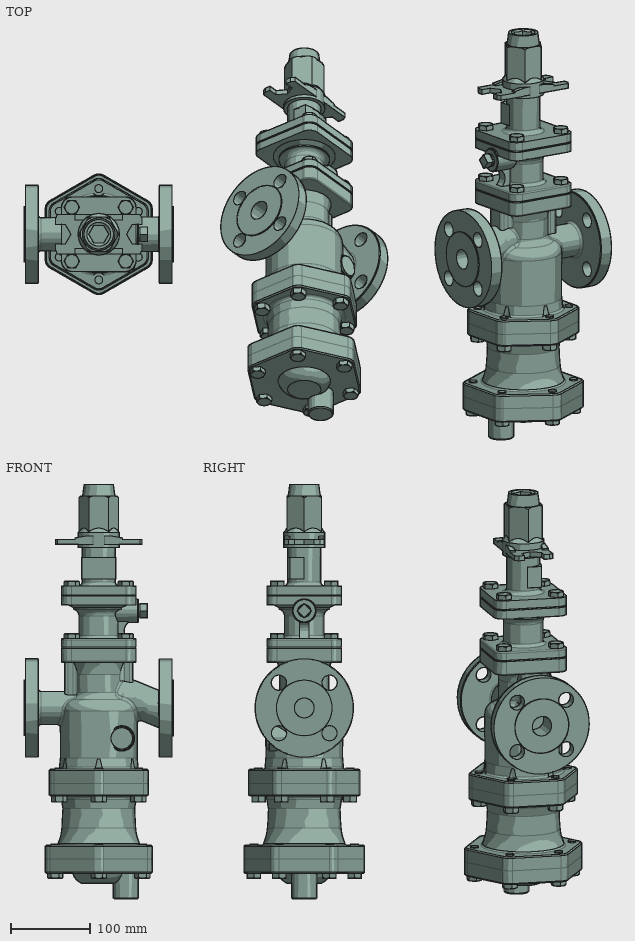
import cadquery as cq
import math


FACE_X = 94.0
PIPE_FLANGE_DIA = 124.0
PIPE_FLANGE_BACK_X = 75.8
RAISED_FACE_DIA = 70.0
RAISED_FACE_STEP = 1.6
PIPE_FLANGE_CHAMFER = 1.0
PIPE_BORE_DIA = 25.0
PIPE_BORE_DEPTH = 40.0
PIPE_DIA = 42.0
PIPE_FLANGE_FILLET = 3.0
FLANGE_HOLE_DIA = 19.0
FLANGE_HOLE_CIRCLE_DIA = 90.0
PIPE_BODY_FILLET = 4.0
OUTLET_DIA = 44.0
OUTLET_SLOPE = 0.4
OUTLET_START = (84.0, -4.5)
OUTLET_MIDDLE = (51.0, 8.7)
OUTLET_END = (20.0, 17.0)

BODY_RADIUS = 48.5
NECK_RADIUS = 62.07 / 2
NECK_TOP_RADIUS = 34.0
NECK_FLARE_MID_RADIUS = 31.8
NECK_FLARE_Z = 42.0
NECK_FOOT_Z = 19.6
SHOULDER_RADIUS = 15.0
SHOULDER_Z = -4.0
BODY_FLARE_Z = -62.8
BODY_FLARE_RADIUS = 49.6
BODY_FOOT_FILLET = 2.4

PASSAGE_X = 43.0
PASSAGE_WIDTH = 26.0
PASSAGE_CORNER = 4.0
PASSAGE_NECK_FILLET = 7.5

SQUARE_SIDE = 94.0
SQUARE_CORNER = 13.0
GASKET_THICKNESS = 1.6
GASKET_INSET = 0.5
SQUARE_EDGE_FILLET = 1.6
LOWER_SQUARE_BOTTOM_Z = 57.3
LOWER_SQUARE_GASKET_Z = 75.0
LOWER_SQUARE_TOP_Z = 87.3
UPPER_SQUARE_BOTTOM_Z = 129.9
UPPER_SQUARE_GASKET_Z = 140.8
UPPER_SQUARE_TOP_Z = 153.4
SQUARE_BOLT_CIRCLE_DIA = 96.0
SQUARE_BOLT_ACROSS_FLATS = 17.0
SQUARE_BOLT_HEAD_HEIGHT = 6.3

PILOT_RADIUS = 25.0
PILOT_FOOT_FILLET = 4.0
PILOT_FLARE_Z = 116.0
PILOT_FLARE_RADIUS = 32.0
PILOT_FLARE_TOP_Z = 124.5
PILOT_RIM_RADIUS = 39.0
PILOT_RIM_HEIGHT = 3.5

UPPER_BOSS_Z = 122.4
UPPER_BOSS_DIA = 30.0
UPPER_BOSS_END_X = 50.0
UPPER_PLUG_END_X = 61.2
UPPER_PLUG_DIAGONAL = 18.0
UPPER_PLUG_COLLAR_DIA = 16.0
UPPER_PLUG_COLLAR_LENGTH = 2.2
BOSS_RIB_X = 32.3
BOSS_RIB_FOOT_X = 37.0
BOSS_RIB_WIDTH = 12.0
LOWER_BOSS_Z = 90.3
LOWER_BOSS_DIA = 28.0
LOWER_BOSS_END_X = 49.2
LOWER_BOSS_FILLET = 3.5
LOWER_PLUG_END_X = 56.2
LOWER_PLUG_ACROSS_FLATS = 24.0
BOSS_CHAMFER = 1.0

STEM_DIA = 42.0
STEM_FLARE_RADIUS = 26.5
STEM_FLARE_Z = 158.9
STEM_PAD_HALF_WIDTH = 21.5
STEM_PAD_EDGE_Y = 18.2
STEM_PAD_BOTTOM_Z = 162.7
STEM_PAD_TOP_Z = 189.5
COLLAR_DIA = 52.0
COLLAR_BOTTOM_Z = 202.0
COLLAR_TOP_Z = 220.7
COLLAR_CONE_TOP_Z = 226.5
CAP_ACROSS_FLATS = 43.5
CAP_HEX_TOP_Z = 266.8
CAP_HEX_CHAMFER = 2.0
CAP_NECK_DIA = 41.0
CAP_TOP_DIA = 37.0
TOP_Z = 281.4
SOCKET_MOUTH_DIA = 30.0
SOCKET_ACROSS_FLATS = 22.0
SOCKET_MOUTH_DEPTH = 2.0
SOCKET_DEPTH = 11.0
WRENCH_HALF_LENGTH = 54.7
WRENCH_HALF_WIDTH = 25.0
WRENCH_BOTTOM_Z = 206.0
WRENCH_THICKNESS = 6.3
WRENCH_TIP_CUT_X = 2.8
WRENCH_TIP_CUT_Y = 5.0
WRENCH_JAW = 25.0
WRENCH_JAW_TIP_X = 35.0
WRENCH_RIB_WIDTH = 7.0
WRENCH_RIB_HALF_LENGTH = 30.0
WRENCH_RIB_END_HEIGHT = 1.8
WRENCH_RIB_HUB_HEIGHT = 4.4
WRENCH_RIB_HUB_X = 15.0

HEX_CORNER = 12.5
HEX_EDGE_CHAMFER = 1.6
UPPER_HEX_ACROSS_FLATS = 125.0
UPPER_HEX_TOP_Z = -77.0
UPPER_HEX_SPLIT_Z = -95.0
UPPER_HEX_BOTTOM_Z = -110.9
UPPER_HEX_BOLT_RADIUS = 57.5
UPPER_HEX_HEAD_HEIGHT = 7.8
LOWER_HEX_ACROSS_FLATS = 135.0
LOWER_HEX_TOP_Z = -172.7
LOWER_HEX_SPLIT_Z = -190.3
LOWER_HEX_BOTTOM_Z = -208.4
LOWER_HEX_BOLT_RADIUS = 63.5
LOWER_HEX_HEAD_HEIGHT = 6.2
HEX_BOLT_ACROSS_FLATS = 17.0
HEX_BOLT_DIA = 10.0
HEX_BOLT_PROTRUSION = 1.6
SPOTFACE_RADIUS = 9.0
SPOTFACE_TOP_Z = -64.5
SPOTFACE_BOTTOM_Z = -126.0

TRAP_TOP_RADIUS = 47.2
TRAP_TOP_FILLET = 4.5
TRAP_SHOULDER_Z = -126.5
TRAP_WAIST_RADIUS = 45.3
TRAP_FLARE_Z = -151.0
TRAP_FLARE_RADIUS = 46.6
TRAP_FOOT_RADIUS = 51.5
TRAP_FOOT_FILLET = 2.0
COVER_RADIUS = 33.0
COVER_MIDDLE_RADIUS = 29.0
COVER_MIDDLE_Z = -215.5
COVER_BOTTOM_RADIUS = 21.0
COVER_BOTTOM_Z = -221.0
DRAIN_X = 34.0
DRAIN_DIA = 32.0
DRAIN_CHAMFER = 1.5
BOTTOM_Z = -240.6

BODY_PLUG_X = 29.0
BODY_PLUG_Z = -38.3
BODY_PLUG_BOSS_DIA = 32.0
BODY_PLUG_BOSS_Y = -44.5
BODY_PLUG_DIA = 27.0
BODY_PLUG_Y = -47.5

COS30 = math.cos(math.radians(30))


def rod(diameter, z_bottom, z_top):
    """Cylinder on the Z axis."""
    return cq.Workplane("XY").workplane(offset=z_bottom).circle(diameter / 2).extrude(z_top - z_bottom)


def hex_prism(across_flats, z_bottom, z_top):
    """Hexagon with corners on the X axis."""
    base = cq.Workplane("XY").workplane(offset=z_bottom)
    return base.polygon(6, across_flats / COS30).extrude(z_top - z_bottom)


def bolt_head(across_flats, height):
    """Hexagon head standing on Z = 0 with its upper corners turned off."""
    corner = across_flats / COS30
    turned = rod(corner, 0, height).faces(">Z").chamfer((corner - across_flats) / 2)
    return hex_prism(across_flats, 0, height).intersect(turned)


def along_x(shape, sign):
    """Turn a shape built along +Z so that it points along +X or -X."""
    return shape.rotate((0, 0, 0), (0, 1, 0), 90 * sign)


def main_body():
    center_x = BODY_RADIUS - SHOULDER_RADIUS
    rise = NECK_FOOT_Z - SHOULDER_Z
    step = center_x - NECK_RADIUS
    foot_fillet = (step**2 + rise**2 - SHOULDER_RADIUS**2) / (2 * (SHOULDER_RADIUS + step))
    share = SHOULDER_RADIUS / (SHOULDER_RADIUS + foot_fillet)
    shoulder_start = (center_x + share * (foot_fillet - step), SHOULDER_Z + share * rise)
    foot_z = UPPER_HEX_TOP_Z + BODY_FOOT_FILLET
    flare_mid_z = (LOWER_SQUARE_BOTTOM_Z + NECK_FLARE_Z) / 2
    profile = (
        cq.Workplane("XZ")
        .moveTo(0, LOWER_SQUARE_BOTTOM_Z)
        .lineTo(NECK_TOP_RADIUS, LOWER_SQUARE_BOTTOM_Z)
        .threePointArc((NECK_FLARE_MID_RADIUS, flare_mid_z), (NECK_RADIUS, NECK_FLARE_Z))
        .lineTo(NECK_RADIUS, NECK_FOOT_Z)
        .radiusArc(shoulder_start, -foot_fillet)
        .radiusArc((BODY_RADIUS, SHOULDER_Z), SHOULDER_RADIUS)
        .lineTo(BODY_RADIUS, BODY_FLARE_Z)
        .lineTo(BODY_FLARE_RADIUS, foot_z)
        .radiusArc((BODY_FLARE_RADIUS + BODY_FOOT_FILLET, UPPER_HEX_TOP_Z), -BODY_FOOT_FILLET)
        .lineTo(0, UPPER_HEX_TOP_Z)
        .close()
    )
    return profile.revolve(360, (0, 0, 0), (0, 1, 0))


def passage_ribs():
    """Vertical passages beside the neck, blended into it and ending inside the pipes."""
    height = LOWER_SQUARE_BOTTOM_Z
    block = cq.Workplane("XY").box(2 * PASSAGE_X, PASSAGE_WIDTH, height, centered=(True, True, False))
    block = block.edges("|Z").fillet(PASSAGE_CORNER).union(rod(2 * NECK_RADIUS, 0, height))
    inner_corners = block.edges("|Z").filter(lambda edge: abs(edge.Center().x) < NECK_RADIUS)
    return inner_corners.fillet(PASSAGE_NECK_FILLET)


def body_plug():
    front = cq.Workplane("XZ").center(BODY_PLUG_X, BODY_PLUG_Z)
    boss = front.circle(BODY_PLUG_BOSS_DIA / 2).extrude(-BODY_PLUG_BOSS_Y)
    plug = front.circle(BODY_PLUG_DIA / 2).extrude(-BODY_PLUG_Y)
    return boss.faces("<Y").chamfer(BOSS_CHAMFER).union(plug)


def pipe_flange(sign):
    back = PIPE_FLANGE_BACK_X
    outer = FACE_X - RAISED_FACE_STEP
    radius = PIPE_FLANGE_DIA / 2
    pipe = PIPE_DIA / 2
    profile = (
        cq.Workplane("XZ")
        .moveTo(0, back - PIPE_FLANGE_FILLET)
        .lineTo(pipe, back - PIPE_FLANGE_FILLET)
        .radiusArc((pipe + PIPE_FLANGE_FILLET, back), PIPE_FLANGE_FILLET)
        .lineTo(radius - PIPE_FLANGE_CHAMFER, back)
        .lineTo(radius, back + PIPE_FLANGE_CHAMFER)
        .lineTo(radius, outer)
        .lineTo(RAISED_FACE_DIA / 2, outer)
        .lineTo(RAISED_FACE_DIA / 2, FACE_X)
        .lineTo(0, FACE_X)
        .close()
    )
    flange = profile.revolve(360, (0, 0, 0), (0, 1, 0))
    holes = (
        cq.Workplane("XY")
        .workplane(offset=back)
        .polarArray(FLANGE_HOLE_CIRCLE_DIA / 2, 45, 360, 4)
        .circle(FLANGE_HOLE_DIA / 2)
        .extrude(FACE_X - back)
    )
    return along_x(flange.cut(holes), sign)


def inlet_pipe():
    return along_x(rod(PIPE_DIA, 0, PIPE_FLANGE_BACK_X), -1)


def outlet_pipe():
    """Curved pipe climbing from the outlet flange into the neck."""
    path = cq.Workplane("XZ").spline(
        [OUTLET_START, OUTLET_MIDDLE, OUTLET_END],
        tangents=[(-1, OUTLET_SLOPE), (-1, 0)],
    )
    start_x, start_z = OUTLET_START
    start = cq.Plane(origin=(start_x, 0, start_z), xDir=(0, 1, 0), normal=(-1, 0, OUTLET_SLOPE))
    return cq.Workplane(start).circle(OUTLET_DIA / 2).sweep(path)


def body_with_pipes(body):
    """Join both pipes to the body and round the seams where they meet it."""
    def is_seam(edge):
        box = edge.BoundingBox()
        return edge.geomType() == "BSPLINE" and box.xmax < BODY_FLARE_RADIUS and box.zmin > BODY_FLARE_Z

    joined = body.union(inlet_pipe()).union(outlet_pipe())
    return joined.edges().filter(is_seam).fillet(PIPE_BODY_FILLET)


def pipe_bore(sign):
    return along_x(rod(PIPE_BORE_DIA, FACE_X - PIPE_BORE_DEPTH, FACE_X), sign)


def square_plate(z_bottom, z_top, inset=0.0):
    side = SQUARE_SIDE - 2 * inset
    plate = cq.Workplane("XY").workplane(offset=z_bottom).rect(side, side).extrude(z_top - z_bottom)
    return plate.edges("|Z").fillet(SQUARE_CORNER - inset)


def square_joint(z_bottom, z_gasket, z_top, rounded):
    lower = square_plate(z_bottom, z_gasket)
    upper = square_plate(z_gasket + GASKET_THICKNESS, z_top)
    if rounded:
        lower = lower.faces("<Z").edges().fillet(SQUARE_EDGE_FILLET)
        upper = upper.faces(">Z").edges().fillet(SQUARE_EDGE_FILLET)
    gasket = square_plate(z_gasket, z_gasket + GASKET_THICKNESS, GASKET_INSET)
    joint = lower.union(gasket).union(upper)
    head = bolt_head(SQUARE_BOLT_ACROSS_FLATS, SQUARE_BOLT_HEAD_HEIGHT)
    for angle in (45, 135, 225, 315):
        x = SQUARE_BOLT_CIRCLE_DIA / 2 * math.cos(math.radians(angle))
        y = SQUARE_BOLT_CIRCLE_DIA / 2 * math.sin(math.radians(angle))
        joint = joint.union(head.translate((x, y, z_top)))
    return joint


def pilot_body():
    foot_z = LOWER_SQUARE_TOP_Z
    profile = (
        cq.Workplane("XZ")
        .moveTo(0, foot_z)
        .lineTo(PILOT_RADIUS + PILOT_FOOT_FILLET, foot_z)
        .radiusArc((PILOT_RADIUS, foot_z + PILOT_FOOT_FILLET), PILOT_FOOT_FILLET)
        .lineTo(PILOT_RADIUS, PILOT_FLARE_Z)
        .tangentArcPoint((PILOT_FLARE_RADIUS, PILOT_FLARE_TOP_Z), relative=False)
        .lineTo(PILOT_FLARE_RADIUS, UPPER_SQUARE_BOTTOM_Z - PILOT_RIM_HEIGHT)
        .lineTo(PILOT_RIM_RADIUS, UPPER_SQUARE_BOTTOM_Z)
        .lineTo(0, UPPER_SQUARE_BOTTOM_Z)
        .close()
    )
    return profile.revolve(360, (0, 0, 0), (0, 1, 0))


def upper_boss():
    boss = rod(UPPER_BOSS_DIA, 0, UPPER_BOSS_END_X).faces(">Z").chamfer(BOSS_CHAMFER)
    collar_end = UPPER_BOSS_END_X + UPPER_PLUG_COLLAR_LENGTH
    collar = rod(UPPER_PLUG_COLLAR_DIA, UPPER_BOSS_END_X, collar_end)
    plug_base = cq.Workplane("XY").workplane(offset=collar_end)
    plug = plug_base.polygon(4, UPPER_PLUG_DIAGONAL).extrude(UPPER_PLUG_END_X - collar_end)
    placed = along_x(boss.union(collar).union(plug), 1).translate((0, 0, UPPER_BOSS_Z))
    rib_top_z = UPPER_BOSS_Z - UPPER_BOSS_DIA / 2
    rib = (
        cq.Workplane("XZ")
        .moveTo(0, LOWER_SQUARE_TOP_Z)
        .lineTo(BOSS_RIB_FOOT_X, LOWER_SQUARE_TOP_Z)
        .threePointArc((BOSS_RIB_X, (LOWER_SQUARE_TOP_Z + rib_top_z) / 2), (BOSS_RIB_FOOT_X, rib_top_z))
        .lineTo(BOSS_RIB_FOOT_X, UPPER_BOSS_Z)
        .lineTo(0, UPPER_BOSS_Z)
        .close()
        .extrude(BOSS_RIB_WIDTH / 2, both=True)
    )
    return placed.union(rib)


def lower_boss():
    """Inlet-side boss, rounded where it meets the straight part of the pilot body."""
    def is_seam(edge):
        return edge.geomType() == "BSPLINE"

    boss = along_x(rod(LOWER_BOSS_DIA, 0, LOWER_BOSS_END_X), -1).translate((0, 0, LOWER_BOSS_Z))
    boss = boss.faces("<X").chamfer(BOSS_CHAMFER)
    core = rod(2 * PILOT_RADIUS, LOWER_SQUARE_BOTTOM_Z, PILOT_FLARE_Z)
    boss = core.union(boss).edges().filter(is_seam).fillet(LOWER_BOSS_FILLET)
    head = bolt_head(LOWER_PLUG_ACROSS_FLATS, LOWER_PLUG_END_X - LOWER_BOSS_END_X)
    head = head.rotate((0, 0, 0), (0, 0, 1), 90).translate((0, 0, LOWER_BOSS_END_X))
    return boss.union(along_x(head, -1).translate((0, 0, LOWER_BOSS_Z)))


def stem():
    radius = STEM_DIA / 2
    foot_z = UPPER_SQUARE_TOP_Z
    profile = (
        cq.Workplane("XZ")
        .moveTo(0, foot_z)
        .lineTo(STEM_FLARE_RADIUS, foot_z)
        .radiusArc((radius, STEM_FLARE_Z), STEM_FLARE_Z - foot_z)
        .lineTo(radius, COLLAR_BOTTOM_Z)
        .lineTo(COLLAR_DIA / 2, COLLAR_BOTTOM_Z)
        .lineTo(COLLAR_DIA / 2, COLLAR_TOP_Z)
        .lineTo(CAP_ACROSS_FLATS / 2, COLLAR_CONE_TOP_Z)
        .lineTo(0, COLLAR_CONE_TOP_Z)
        .close()
    )
    return profile.revolve(360, (0, 0, 0), (0, 1, 0))


def stem_pad():
    """Pad on the front half of the stem with a gently curved front."""
    w = STEM_PAD_HALF_WIDTH
    return (
        cq.Workplane("XY")
        .workplane(offset=STEM_PAD_BOTTOM_Z)
        .moveTo(-w, 0)
        .lineTo(-w, -STEM_PAD_EDGE_Y)
        .threePointArc((0, -w), (w, -STEM_PAD_EDGE_Y))
        .lineTo(w, 0)
        .close()
        .extrude(STEM_PAD_TOP_Z - STEM_PAD_BOTTOM_Z)
    )


def cap():
    corner = CAP_ACROSS_FLATS / COS30
    turned = rod(corner, COLLAR_TOP_Z, CAP_HEX_TOP_Z).faces(">Z").chamfer(CAP_HEX_CHAMFER)
    body = hex_prism(CAP_ACROSS_FLATS, COLLAR_TOP_Z, CAP_HEX_TOP_Z).intersect(turned)
    nose = (
        cq.Workplane("XY")
        .workplane(offset=CAP_HEX_TOP_Z)
        .circle(CAP_NECK_DIA / 2)
        .workplane(offset=TOP_Z - CAP_HEX_TOP_Z)
        .circle(CAP_TOP_DIA / 2)
        .loft()
    )
    mouth = (
        cq.Workplane("XY")
        .workplane(offset=TOP_Z - SOCKET_MOUTH_DEPTH)
        .circle(SOCKET_ACROSS_FLATS / 2)
        .workplane(offset=SOCKET_MOUTH_DEPTH)
        .circle(SOCKET_MOUTH_DIA / 2)
        .loft()
    )
    socket = hex_prism(SOCKET_ACROSS_FLATS, TOP_Z - SOCKET_DEPTH, TOP_Z)
    return body.union(nose).cut(mouth).cut(socket)


def wrench():
    """Double-ended open wrench around the collar, with wedge ribs along its sides."""
    side_end_x = WRENCH_HALF_LENGTH - WRENCH_TIP_CUT_X
    tip_edge_y = WRENCH_HALF_WIDTH - WRENCH_TIP_CUT_Y
    quarter = [
        (0, 0),
        (WRENCH_HALF_LENGTH, 0),
        (WRENCH_HALF_LENGTH, tip_edge_y),
        (side_end_x, WRENCH_HALF_WIDTH),
        (0, WRENCH_HALF_WIDTH),
    ]
    plate = cq.Workplane("XY").polyline(quarter).close().extrude(WRENCH_THICKNESS)
    plate = plate.union(plate.mirror("XZ"))
    plate = plate.union(plate.mirror("YZ"))
    jaw_corner = WRENCH_JAW / COS30
    for sign in (-1, 1):
        jaw_center = sign * (WRENCH_JAW_TIP_X + jaw_corner / 2)
        jaw = hex_prism(WRENCH_JAW, 0, WRENCH_THICKNESS).translate((jaw_center, 0, 0))
        mouth = cq.Workplane("XY").box(jaw_corner, WRENCH_JAW, WRENCH_THICKNESS, centered=(True, True, False))
        mouth = mouth.translate((jaw_center + sign * jaw_corner / 2, 0, 0))
        plate = plate.cut(jaw).cut(mouth)
    rib_end = WRENCH_THICKNESS + WRENCH_RIB_END_HEIGHT
    rib_hub = WRENCH_THICKNESS + WRENCH_RIB_HUB_HEIGHT
    rib_outline = [
        (-WRENCH_RIB_HALF_LENGTH, 0),
        (-WRENCH_RIB_HALF_LENGTH, rib_end),
        (-WRENCH_RIB_HUB_X, rib_hub),
        (WRENCH_RIB_HUB_X, rib_hub),
        (WRENCH_RIB_HALF_LENGTH, rib_end),
        (WRENCH_RIB_HALF_LENGTH, 0),
    ]
    rib = cq.Workplane("XZ").polyline(rib_outline).close().extrude(WRENCH_RIB_WIDTH)
    plate = plate.union(rib.translate((0, WRENCH_HALF_WIDTH, 0)))
    plate = plate.union(rib.translate((0, WRENCH_RIB_WIDTH - WRENCH_HALF_WIDTH, 0)))
    return plate.translate((0, 0, WRENCH_BOTTOM_Z))


def hex_joint(across_flats, z_bottom, z_split, z_top):
    """Two hexagon flanges with corners on the Y axis."""
    def half(z0, z1, outer_face):
        plate = hex_prism(across_flats, z0, z1).rotate((0, 0, 0), (0, 0, 1), 30)
        plate = plate.edges("|Z").fillet(HEX_CORNER)
        return plate.faces(outer_face).edges().chamfer(HEX_EDGE_CHAMFER)

    lower = half(z_bottom, z_split, "<Z")
    upper = half(z_split, z_top, ">Z")
    return lower.union(upper, clean=False)


def hex_joint_bolts(radius, z_bottom, z_top, head_height):
    """Bolts under each hexagon corner, their ends just proud of the top."""
    head = bolt_head(HEX_BOLT_ACROSS_FLATS, head_height).rotate((0, 0, 0), (1, 0, 0), 180)
    shank = rod(HEX_BOLT_DIA, 0, z_top + HEX_BOLT_PROTRUSION - z_bottom)
    bolt = head.union(shank).translate((0, radius, z_bottom))
    bolts = bolt
    for angle in range(60, 360, 60):
        bolts = bolts.union(bolt.rotate((0, 0, 0), (0, 0, 1), angle))
    return bolts


def spotfaces(z_bottom, z_top):
    """Clearance around the bolts of the upper hexagon joint."""
    return (
        cq.Workplane("XY")
        .workplane(offset=z_bottom)
        .polarArray(UPPER_HEX_BOLT_RADIUS, 30, 360, 6)
        .circle(SPOTFACE_RADIUS)
        .extrude(z_top - z_bottom)
    )


def trap_body():
    profile = (
        cq.Workplane("XZ")
        .moveTo(0, UPPER_HEX_BOTTOM_Z)
        .lineTo(TRAP_TOP_RADIUS + TRAP_TOP_FILLET, UPPER_HEX_BOTTOM_Z)
        .radiusArc((TRAP_TOP_RADIUS, UPPER_HEX_BOTTOM_Z - TRAP_TOP_FILLET), -TRAP_TOP_FILLET)
        .lineTo(TRAP_WAIST_RADIUS, TRAP_SHOULDER_Z)
        .lineTo(TRAP_FLARE_RADIUS, TRAP_FLARE_Z)
        .tangentArcPoint((TRAP_FOOT_RADIUS, LOWER_HEX_TOP_Z + TRAP_FOOT_FILLET), relative=False)
        .radiusArc((TRAP_FOOT_RADIUS + TRAP_FOOT_FILLET, LOWER_HEX_TOP_Z), -TRAP_FOOT_FILLET)
        .lineTo(0, LOWER_HEX_TOP_Z)
        .close()
    )
    return profile.revolve(360, (0, 0, 0), (0, 1, 0))


def bottom_cover():
    profile = (
        cq.Workplane("XZ")
        .moveTo(0, LOWER_HEX_BOTTOM_Z)
        .lineTo(COVER_RADIUS, LOWER_HEX_BOTTOM_Z)
        .threePointArc((COVER_MIDDLE_RADIUS, COVER_MIDDLE_Z), (COVER_BOTTOM_RADIUS, COVER_BOTTOM_Z))
        .lineTo(0, COVER_BOTTOM_Z)
        .close()
    )
    dish = profile.revolve(360, (0, 0, 0), (0, 1, 0))
    drain = rod(DRAIN_DIA, BOTTOM_Z, LOWER_HEX_BOTTOM_Z).faces("<Z").chamfer(DRAIN_CHAMFER)
    return dish.union(drain.translate((DRAIN_X, 0, 0)))


body = main_body().cut(spotfaces(UPPER_HEX_TOP_Z, SPOTFACE_TOP_Z))
body = body_with_pipes(body)
valve = body.union(passage_ribs()).union(body_plug())
for side in (-1, 1):
    valve = valve.union(pipe_flange(side)).cut(pipe_bore(side))
valve = valve.union(square_joint(LOWER_SQUARE_BOTTOM_Z, LOWER_SQUARE_GASKET_Z, LOWER_SQUARE_TOP_Z, True))
valve = valve.union(pilot_body()).union(upper_boss()).union(lower_boss())
valve = valve.union(square_joint(UPPER_SQUARE_BOTTOM_Z, UPPER_SQUARE_GASKET_Z, UPPER_SQUARE_TOP_Z, False))
valve = valve.union(stem()).union(stem_pad()).union(wrench()).union(cap())
trap = trap_body().cut(spotfaces(SPOTFACE_BOTTOM_Z, UPPER_HEX_BOTTOM_Z))
trap = trap.union(bottom_cover())

upper_hex = hex_joint(UPPER_HEX_ACROSS_FLATS, UPPER_HEX_BOTTOM_Z, UPPER_HEX_SPLIT_Z, UPPER_HEX_TOP_Z)
upper_bolts = hex_joint_bolts(UPPER_HEX_BOLT_RADIUS, UPPER_HEX_BOTTOM_Z, UPPER_HEX_TOP_Z, UPPER_HEX_HEAD_HEIGHT)
lower_hex = hex_joint(LOWER_HEX_ACROSS_FLATS, LOWER_HEX_BOTTOM_Z, LOWER_HEX_SPLIT_Z, LOWER_HEX_TOP_Z)
lower_bolts = hex_joint_bolts(LOWER_HEX_BOLT_RADIUS, LOWER_HEX_BOTTOM_Z, LOWER_HEX_TOP_Z, LOWER_HEX_HEAD_HEIGHT)
for piece in (upper_hex, upper_bolts, trap, lower_hex, lower_bolts):
    valve = valve.union(piece, clean=False)
result = valve